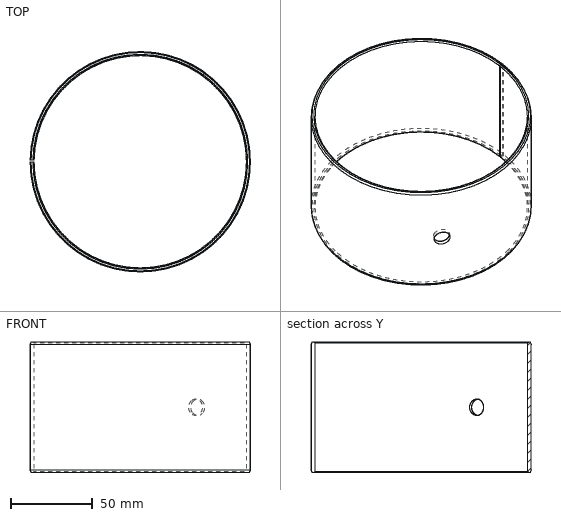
import cadquery as cq

outer_diameter = 135.0
inner_diameter = 130.0
length = 80.0

outer_chamfer_height = 1.6
outer_chamfer_depth = 0.6
inner_chamfer = 0.8

split_width = 1.0
oil_hole_diameter = 10.0
oil_hole_angle = 58.5

outer_radius = outer_diameter / 2
inner_radius = inner_diameter / 2
half_length = length / 2


def make_sleeve():
    """Revolve the wall section, with its four chamfered corners, about Z."""
    upper_half = [
        (outer_radius, half_length - outer_chamfer_height),
        (outer_radius - outer_chamfer_depth, half_length),
        (inner_radius + inner_chamfer, half_length),
        (inner_radius, half_length - inner_chamfer),
    ]
    lower_half = [(r, -z) for r, z in reversed(upper_half)]
    section = cq.Workplane("XZ").polyline(upper_half + lower_half).close()
    return section.revolve(360, (0, 0, 0), (0, 1, 0))


def make_split():
    """Full-length gap through the -X wall, with one face on the XZ plane and the other at +Y."""
    cutter = cq.Workplane("XY").box(outer_radius, split_width, length)
    return cutter.translate((-outer_radius, split_width / 2, 0))


def make_oil_hole():
    """Radial hole through one wall at mid-length."""
    drill = cq.Workplane("YZ").circle(oil_hole_diameter / 2).extrude(outer_diameter)
    return drill.rotate((0, 0, 0), (0, 0, 1), oil_hole_angle)


result = make_sleeve().cut(make_split()).cut(make_oil_hole())